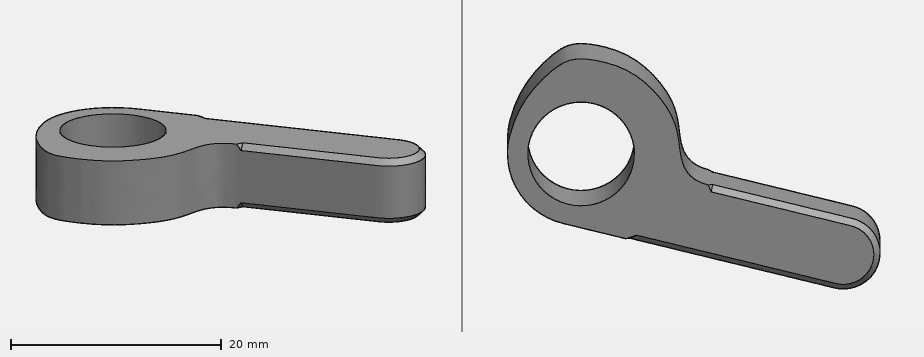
import cadquery as cq

length = 37.0
thickness = 6.4
bore_diameter = 10.1
hub_radius = 7.0
cam_depth = 9.2
arm_chamfer = 0.6

arm_radius = hub_radius / 2
tip_x = length - hub_radius
arm_end_x = tip_x - arm_radius

lobe_left_points = [(-6.18, -4.45), (-4.33, -7.62)]
lobe_right_points = [(5.1, -7.7), (7.55, -5.55)]
blend_start = (9.03, -2.6)
blend_direction = (1.0, 2.7)
blend_points = [(9.95, -0.95)]
blend_end_x = 12.45

lower_runout_start_x = blend_end_x
lower_wall_x = 12.88
upper_runout_start_x = 6.1
upper_wall_side_x = 6.55
upper_wall_face_x = 7.03


def make_outline():
    """Closed profile of the hub, cam lobe, blend and arm."""
    return (
        cq.Workplane("XY")
        .moveTo(0, hub_radius)
        .threePointArc((-hub_radius / 2**0.5, hub_radius / 2**0.5), (-hub_radius, 0))
        .spline(
            lobe_left_points + [(0, -cam_depth)],
            tangents=[(0, -1), (1, 0)],
            includeCurrent=True,
        )
        .spline(
            lobe_right_points + [blend_start],
            tangents=[(1, 0), blend_direction],
            includeCurrent=True,
        )
        .spline(
            blend_points + [(blend_end_x, 0)],
            tangents=[blend_direction, (1, 0)],
            includeCurrent=True,
        )
        .lineTo(arm_end_x, 0)
        .threePointArc((tip_x, arm_radius), (arm_end_x, hub_radius))
        .close()
    )


def make_hub(plate):
    """Keep the unchamfered plate up to the end walls of the arm chamfers."""
    hub_side = (
        cq.Workplane("XY")
        .moveTo(-length, -length)
        .lineTo(lower_wall_x, -length)
        .lineTo(lower_wall_x, arm_chamfer)
        .lineTo(upper_wall_face_x, hub_radius - arm_chamfer)
        .lineTo(upper_wall_side_x, hub_radius)
        .lineTo(upper_wall_side_x, length)
        .lineTo(-length, length)
        .close()
        .extrude(thickness)
    )
    return plate.intersect(hub_side)


def make_arm():
    """Round-ended arm, chamfered around its top and bottom edges."""
    arm = (
        cq.Workplane("XY")
        .moveTo(0, 0)
        .lineTo(arm_end_x, 0)
        .threePointArc((tip_x, arm_radius), (arm_end_x, hub_radius))
        .lineTo(0, hub_radius)
        .close()
        .extrude(thickness)
    )
    return arm.faces("|Z").edges("not(<X)").chamfer(arm_chamfer)


def make_runout(start_x, wall_side_x, wall_face_x, side_y, inner_y):
    """Tetrahedron that trims a top-face chamfer end down to its triangular facet."""
    start = cq.Vector(start_x, side_y, thickness)
    face_corner = cq.Vector(wall_face_x, inner_y, thickness)
    side_corner = cq.Vector(wall_side_x, side_y, thickness - arm_chamfer)
    wall_top = cq.Vector(wall_side_x, side_y, thickness)
    triangles = [
        (start, face_corner, side_corner),
        (start, face_corner, wall_top),
        (start, side_corner, wall_top),
        (face_corner, side_corner, wall_top),
    ]
    faces = [cq.Face.makeFromWires(cq.Wire.makePolygon(list(corners), close=True)) for corners in triangles]
    return cq.Workplane("XY").add(cq.Solid.makeSolid(cq.Shell.makeShell(faces)))


plate = make_outline().extrude(thickness)
bore = cq.Workplane("XY").circle(bore_diameter / 2).extrude(thickness)
result = make_hub(plate).union(make_arm()).cut(bore)

runouts = [
    make_runout(lower_runout_start_x, lower_wall_x, lower_wall_x, 0, arm_chamfer),
    make_runout(
        upper_runout_start_x, upper_wall_side_x, upper_wall_face_x,
        hub_radius, hub_radius - arm_chamfer,
    ),
]
for runout in runouts:
    mirrored_runout = runout.mirror("XY", (0, 0, thickness / 2))
    result = result.cut(runout).cut(mirrored_runout)